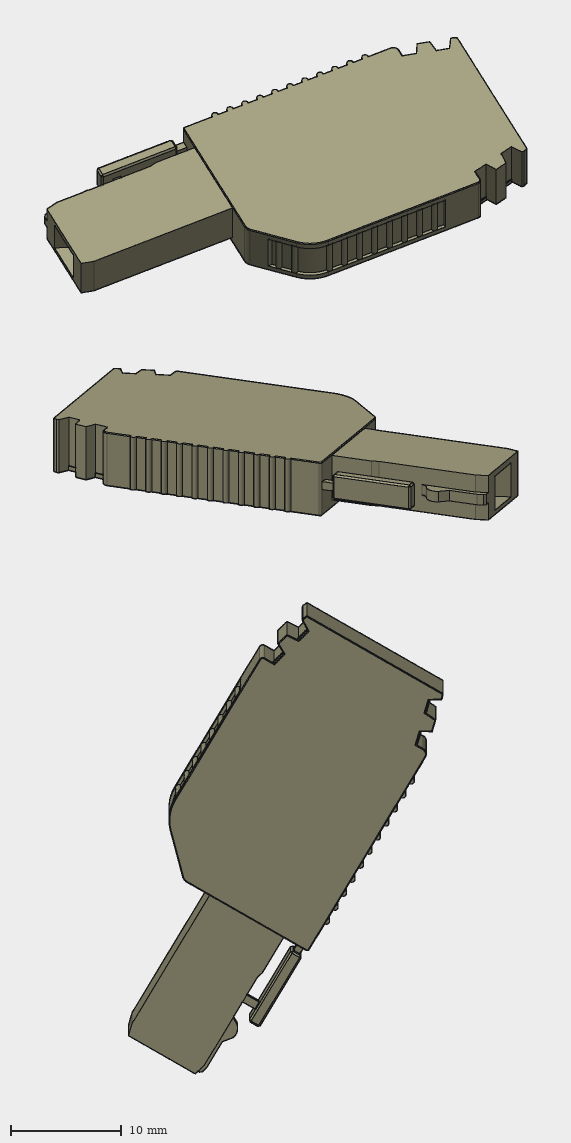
import cadquery as cq
import math

LENGTH = 41.9
HEIGHT = 5.15

WIDTH = 17.5
MID_X = WIDTH / 2
FRONT_Y = 15.1
SHOULDER_Y = 36.58
BEVEL_START_X = 13.05
BEVEL_END_Y = FRONT_Y + WIDTH - BEVEL_START_X
EDGE_BREAK = 0.1
FRONT_LEFT_RADIUS = 0.2
REAR_LEFT_RADIUS = 0.6
REAR_RIGHT_RADIUS = 0.35
BEVEL_END_RADIUS = 3.77
BEVEL_START_RADIUS = 0.9
MARGIN = 0.4

TAIL = [
    (1.35, SHOULDER_Y),
    (1.65, 37.8),
    (0.65, 38.35),
    (0.95, 39.45),
    (2.15, 39.55),
    (2.45, 40.73),
    (1.45, 41.3),
    (1.45, 41.52),
    (1.65, LENGTH),
]
NOTCH_WALLS = [(TAIL[0], TAIL[1]), (TAIL[4], TAIL[5])]
LEDGE_HEIGHT = 0.5
LEDGE_WIDTH = 0.13

RIB_RADIUS = 0.3
RIB_PITCH = 1.5
RIB_COUNT = 11
FIRST_RIB_Y = 18.35

GRIP_DEPTH = 0.3
GRIP_START_X = 14.5
GRIP_END_Y = 32.9
GRIP_BOTTOM = 0.63
GRIP_TOP = 4.5
FIRST_BEVEL_RIB_X = 14.95
BEVEL_RIB_COUNT = 2

PLUG_LEFT = 2.65
PLUG_ROOT_LEFT = 2.47
PLUG_RIGHT = 10.22
PLUG_BOTTOM = 0.75
PLUG_TOP = 5.03
PLUG_TAPER = 0.3
PLUG_TAPER_LENGTH = 1.15
ROOT_STEP_START = 10.55
ROOT_STEP_END = 11.2
ROOT_OVERLAP = 0.85

SOCKET_DEPTH = 2.1
SOCKET_MOUTH = (4.53, 8.35, 1.17, 4.45)
SOCKET_FLOOR = (5.55, 7.15, 1.35, 4.45)

RAIL_BOTTOM = 2.4
RAIL_TOP = 3.4
RAIL_SIDE = 2.15
RAIL_NOSE = [(2.47, 0), (2.25, 0.15)]
RAIL_NOSE_END = 0.75
RAIL_BUMP_START = 3.48
RAIL_END = 6.35
BUMP_FRONT = (1.5, 4.27)
BUMP_CREST = (1.55, 5.2)
BUMP_BACK = (RAIL_SIDE, 5.7)
RUNOUT_MIDDLE = (2.45, 5.95)

TAG_LEFT = 0.0
TAG_RIGHT = 1.15
TAG_FRONT = 6.4
TAG_BACK = 14.05
TAG_BOTTOM = 1.75
TAG_TOP = 4.15
TAG_CHAMFER = 0.15
REAR_LINK = (0.2, 0.9)
REAR_LINK_Z = (2.5, 3.25)
SIDE_LINK = (7.55, 8.3)
SIDE_LINK_Z = (2.55, 3.15)
SIDE_LINK_FLARE = 0.2
LINK_OVERLAP = 0.4


def box(x0, x1, y0, y1, z0, z1):
    return cq.Workplane("XY").box(x1 - x0, y1 - y0, z1 - z0, centered=False).translate((x0, y0, z0))


def prism(points, z0, z1):
    return cq.Workplane("XY").workplane(offset=z0).polyline(points).close().extrude(z1 - z0)


def mirrored(points):
    return [(2 * MID_X - x, y) for x, y in points]


def rib(x, y, z0, z1):
    return cq.Workplane("XY").workplane(offset=z0).center(x, y).circle(RIB_RADIUS).extrude(z1 - z0)


def fillet_upright(solid, x, y, radius):
    """Round the vertical edge standing at (x, y)."""
    return solid.edges("|Z").edges(cq.NearestToPointSelector((x, y, HEIGHT / 2))).fillet(radius)


def make_housing():
    front_left = (0, FRONT_Y)
    rear_left = (0, SHOULDER_Y)
    rear_right = (WIDTH, SHOULDER_Y)
    bevel_end = (WIDTH, BEVEL_END_Y)
    bevel_start = (BEVEL_START_X, FRONT_Y)
    outline = [front_left, rear_left] + TAIL + mirrored(TAIL)[::-1]
    outline += [rear_right, bevel_end, bevel_start]
    housing = prism(outline, 0, HEIGHT)
    rounded = [
        (front_left, FRONT_LEFT_RADIUS),
        (rear_left, REAR_LEFT_RADIUS),
        (rear_right, REAR_RIGHT_RADIUS),
        (bevel_end, BEVEL_END_RADIUS),
        (bevel_start, BEVEL_START_RADIUS),
    ]
    for (x, y), radius in rounded:
        housing = fillet_upright(housing, x, y, radius)
    return housing


def break_edges(housing):
    """Bevel the whole underside rim and the top rim along the right wall and beveled corner."""
    housing = housing.faces("<Z").edges().chamfer(EDGE_BREAK)
    right_rim = cq.selectors.BoxSelector(
        (BEVEL_START_X - MARGIN, FRONT_Y - MARGIN, HEIGHT - MARGIN),
        (WIDTH + MARGIN, SHOULDER_Y - MARGIN, HEIGHT + MARGIN),
    )
    return housing.faces(">Z").edges(right_rim).chamfer(EDGE_BREAK)


def make_notch_ledges():
    """Thin ledges at the foot of the four notch walls."""
    ledges = cq.Workplane("XY")
    for (x0, y0), (x1, y1) in NOTCH_WALLS:
        points = [
            (x0 - LEDGE_WIDTH, y0),
            (x0 + LEDGE_WIDTH, y0),
            (x1 + LEDGE_WIDTH, y1),
            (x1 - LEDGE_WIDTH, y1),
        ]
        ledges = ledges.union(prism(points, EDGE_BREAK, LEDGE_HEIGHT))
        ledges = ledges.union(prism(mirrored(points), EDGE_BREAK, LEDGE_HEIGHT))
    return ledges


def make_left_ribs():
    ribs = cq.Workplane("XY")
    for i in range(RIB_COUNT):
        ribs = ribs.union(rib(0, FIRST_RIB_Y + i * RIB_PITCH, EDGE_BREAK, HEIGHT))
    return ribs


def make_grip_recess(housing):
    """Band of constant depth just inside the right wall and beveled corner, less its ribs."""
    outline = housing.faces("<Z").wires().toPending()
    core = outline.offset2D(-GRIP_DEPTH).extrude(HEIGHT, combine=False)
    zone = box(GRIP_START_X, WIDTH + MARGIN, FRONT_Y - MARGIN, GRIP_END_Y, GRIP_BOTTOM, GRIP_TOP)
    recess = zone.cut(core)

    bevel_shift = GRIP_DEPTH * math.sqrt(2)
    for i in range(BEVEL_RIB_COUNT):
        x = FIRST_BEVEL_RIB_X + i * RIB_PITCH / math.sqrt(2)
        y = FRONT_Y + x - BEVEL_START_X + bevel_shift
        recess = recess.cut(rib(x, y, GRIP_BOTTOM, GRIP_TOP))
    for i in range(RIB_COUNT):
        y = FIRST_RIB_Y + i * RIB_PITCH
        if BEVEL_END_Y + RIB_PITCH < y < GRIP_END_Y:
            recess = recess.cut(rib(WIDTH - GRIP_DEPTH, y, GRIP_BOTTOM, GRIP_TOP))
    return recess


def make_plug():
    root_y = FRONT_Y + ROOT_OVERLAP
    outline = [
        (PLUG_LEFT + PLUG_TAPER, 0),
        (PLUG_RIGHT - PLUG_TAPER, 0),
        (PLUG_RIGHT, PLUG_TAPER_LENGTH),
        (PLUG_RIGHT, root_y),
        (PLUG_ROOT_LEFT, root_y),
        (PLUG_ROOT_LEFT, ROOT_STEP_END),
        (PLUG_LEFT, ROOT_STEP_START),
        (PLUG_LEFT, PLUG_TAPER_LENGTH),
    ]
    return prism(outline, PLUG_BOTTOM, PLUG_TOP)


def socket_section(left, right, bottom, top, y):
    corners = [(left, y, bottom), (right, y, bottom), (right, y, top), (left, y, top)]
    return cq.Wire.makePolygon([cq.Vector(*corner) for corner in corners], close=True)


def make_socket():
    mouth = socket_section(*SOCKET_MOUTH, 0)
    floor = socket_section(*SOCKET_FLOOR, SOCKET_DEPTH)
    return cq.Workplane(cq.Solid.makeLoft([mouth, floor], True))


def make_rail():
    inner_x = PLUG_LEFT + PLUG_TAPER + ROOT_OVERLAP
    return (
        cq.Workplane("XY")
        .workplane(offset=RAIL_BOTTOM)
        .moveTo(inner_x, 0)
        .lineTo(*RAIL_NOSE[0])
        .lineTo(*RAIL_NOSE[1])
        .lineTo(RAIL_SIDE, RAIL_NOSE_END)
        .lineTo(RAIL_SIDE, RAIL_BUMP_START)
        .lineTo(*BUMP_FRONT)
        .threePointArc(BUMP_CREST, BUMP_BACK)
        .threePointArc(RUNOUT_MIDDLE, (PLUG_LEFT, RAIL_END))
        .lineTo(inner_x, RAIL_END)
        .close()
        .extrude(RAIL_TOP - RAIL_BOTTOM)
    )


def make_tag():
    bar = box(TAG_LEFT, TAG_RIGHT, TAG_FRONT, TAG_BACK, TAG_BOTTOM, TAG_TOP)
    bar = bar.edges().chamfer(TAG_CHAMFER)
    rear_link = box(*REAR_LINK, TAG_BACK - LINK_OVERLAP, FRONT_Y + ROOT_OVERLAP, *REAR_LINK_Z)
    link_front, link_back = SIDE_LINK
    side_link = prism(
        [
            (TAG_RIGHT - LINK_OVERLAP, link_front),
            (PLUG_LEFT - SIDE_LINK_FLARE, link_front),
            (PLUG_LEFT, link_front - SIDE_LINK_FLARE),
            (PLUG_LEFT + ROOT_OVERLAP, link_front - SIDE_LINK_FLARE),
            (PLUG_LEFT + ROOT_OVERLAP, link_back + SIDE_LINK_FLARE),
            (PLUG_LEFT, link_back + SIDE_LINK_FLARE),
            (PLUG_LEFT - SIDE_LINK_FLARE, link_back),
            (TAG_RIGHT - LINK_OVERLAP, link_back),
        ],
        *SIDE_LINK_Z,
    )
    return bar.union(rear_link).union(side_link)


plain_housing = make_housing()
result = (
    break_edges(plain_housing)
    .cut(make_grip_recess(plain_housing))
    .union(make_notch_ledges())
    .union(make_left_ribs())
    .union(make_plug())
    .union(make_rail())
    .cut(make_socket())
    .union(make_tag())
)